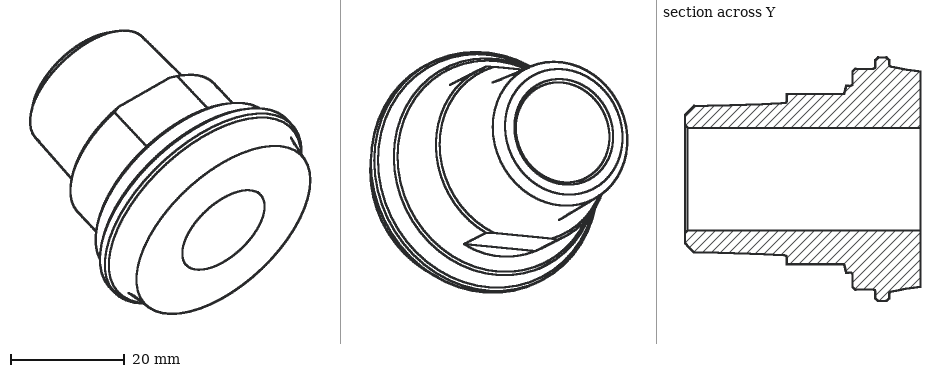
import math

import cadquery as cq

collar_start = 17.9
flange_start = 29.5
rim_start = 33.5
rim_end = 36.0
total_length = 41.5

gauge_plane = 9.5
gauge_diameter = 26.4
spigot_taper = 1 / 16
spigot_chamfer_length = 1.6
spigot_end_diameter = 22.6

collar_diameter = 33.0
flange_diameter = 39.0
rim_diameter = 43.0
edge_chamfer = 0.5
corner_fillet = 0.4

head_end_diameter = 38.0
head_taper = 1 / 3

bore_diameter = 18.0
bore_chamfer = 0.5

flats_width = 30.0
flat_end = 28.0
flat_runout_angle = 15.0


def spigot_radius(x):
    return (gauge_diameter + (x - gauge_plane) * spigot_taper) / 2


def head_radius(x):
    return (head_end_diameter + (total_length - x) * head_taper) / 2


def make_body():
    """Revolve the outer outline about X, with sharp inside corners."""
    collar_radius = collar_diameter / 2
    flange_radius = flange_diameter / 2
    rim_radius = rim_diameter / 2
    outline = [
        (0, 0),
        (0, spigot_end_diameter / 2),
        (spigot_chamfer_length, spigot_radius(spigot_chamfer_length)),
        (collar_start, spigot_radius(collar_start)),
        (collar_start, collar_radius - edge_chamfer),
        (collar_start + edge_chamfer, collar_radius),
        (flange_start, collar_radius),
        (flange_start, flange_radius - edge_chamfer),
        (flange_start + edge_chamfer, flange_radius),
        (rim_start, flange_radius),
        (rim_start, rim_radius - edge_chamfer),
        (rim_start + edge_chamfer, rim_radius),
        (rim_end - edge_chamfer, rim_radius),
        (rim_end, rim_radius - edge_chamfer),
        (rim_end, head_radius(rim_end)),
        (total_length, head_radius(total_length)),
        (total_length, 0),
    ]
    return cq.Workplane("XY").polyline(outline).close().revolve(360, (0, 0, 0), (1, 0, 0))


def fillet_inside_corner(body, x, radius):
    """Round the circular inside corner of the given radius at station x."""
    margin = 0.05
    corner = cq.selectors.BoxSelector(
        (x - margin, -radius - margin, -radius - margin),
        (x + margin, radius + margin, radius + margin),
        boundingbox=True,
    )
    return body.edges(corner).fillet(corner_fillet)


def make_flat_cutter():
    """Material above the upper flat, ending in a sloped run-out face."""
    flat_height = flats_width / 2
    clear_height = rim_diameter / 2
    runout = (clear_height - flat_height) * math.tan(math.radians(flat_runout_angle))
    return (
        cq.Workplane("XZ")
        .moveTo(collar_start, flat_height)
        .lineTo(flat_end, flat_height)
        .lineTo(flat_end + runout, clear_height)
        .lineTo(collar_start, clear_height)
        .close()
        .extrude(rim_diameter / 2, both=True)
    )


def cut_flats(body):
    collar_zone = cq.Workplane("YZ", origin=(collar_start, 0, 0)).circle(collar_diameter / 2)
    collar_zone = collar_zone.extrude(flange_start - collar_start)
    cutter = make_flat_cutter().intersect(collar_zone)
    return body.cut(cutter).cut(cutter.mirror("XY"))


def make_bore():
    """Through bore with a chamfered mouth at the spigot end."""
    bore_radius = bore_diameter / 2
    outline = [
        (0, 0),
        (0, bore_radius + bore_chamfer),
        (bore_chamfer, bore_radius),
        (total_length, bore_radius),
        (total_length, 0),
    ]
    return cq.Workplane("XY").polyline(outline).close().revolve(360, (0, 0, 0), (1, 0, 0))


inside_corners = [
    (collar_start, spigot_radius(collar_start)),
    (flange_start, collar_diameter / 2),
    (rim_start, flange_diameter / 2),
    (rim_end, head_radius(rim_end)),
]

result = make_body()
for corner_x, corner_radius in inside_corners:
    result = fillet_inside_corner(result, corner_x, corner_radius)
result = cut_flats(result).cut(make_bore())